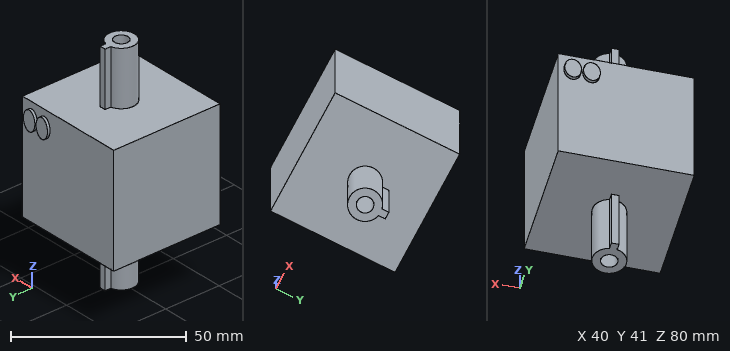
import cadquery as cq

shaft_length = 80.0
cube_side = shaft_length / 2
shaft_diameter = cube_side / 4
bore_diameter = 5.0

key_width = 2.2
key_tip_y = 7.0

pad_width = 5.0
pad_height = 7.2
pad_thickness = 1.0
pad_pitch = 5.5
first_pad_x = 10.3
pad_center_z = 14.0
pad_count = 2


def make_keyed_shaft():
    """Round shaft with a full-length key, centred on the Z axis."""
    shaft = cq.Workplane("XY").circle(shaft_diameter / 2).extrude(shaft_length / 2, both=True)
    key = cq.Workplane("XY").box(key_width, key_tip_y, shaft_length, centered=(True, False, True))
    return shaft.union(key)


def make_pad(center_x):
    """Oval pad standing on the +Y face, rooted at the middle of the cube."""
    return (
        cq.Workplane("XZ")
        .center(center_x, pad_center_z)
        .ellipse(pad_width / 2, pad_height / 2)
        .extrude(-(cube_side / 2 + pad_thickness))
    )


body = cq.Workplane("XY").box(cube_side, cube_side, cube_side)
body = body.union(make_keyed_shaft())

for index in range(pad_count):
    body = body.union(make_pad(first_pad_x + index * pad_pitch))

bore = cq.Workplane("XY").circle(bore_diameter / 2).extrude(shaft_length / 2, both=True)
result = body.cut(bore)